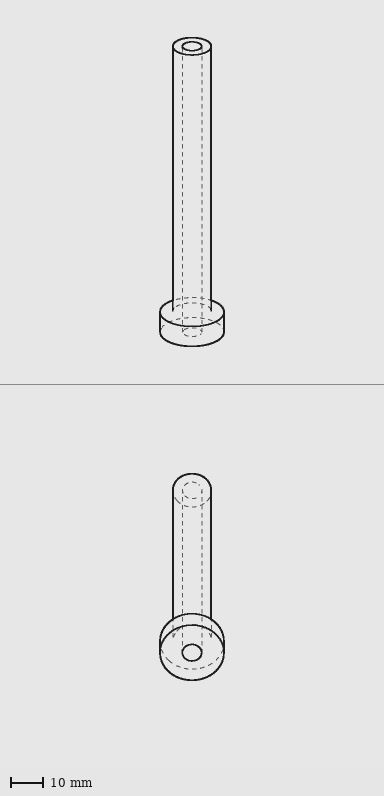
import cadquery as cq

total_length = 100.0
head_diameter = 20.0
head_height = 7.0
shank_diameter = 12.0
bore_diameter = 6.0
neck_fillet_radius = 0.5


def make_cylinder(diameter, height):
    """Cylinder standing on the XY plane, centred on the Z axis."""
    return cq.Workplane("XY").circle(diameter / 2).extrude(height)


def make_headed_body():
    """Round head with a slimmer shank rising from it along Z."""
    head = make_cylinder(head_diameter, head_height)
    shank = make_cylinder(shank_diameter, total_length)
    return head.union(shank)


def fillet_neck(body):
    """Fillet the inner corner where the shank meets the top of the head."""
    neck_edge = body.faces("|Z").faces(">Z[-2]").edges(cq.selectors.RadiusNthSelector(0))
    return neck_edge.fillet(neck_fillet_radius)


def cut_bore(body):
    """Bore a round hole along the axis through the whole length."""
    return body.cut(make_cylinder(bore_diameter, total_length))


result = cut_bore(fillet_neck(make_headed_body()))